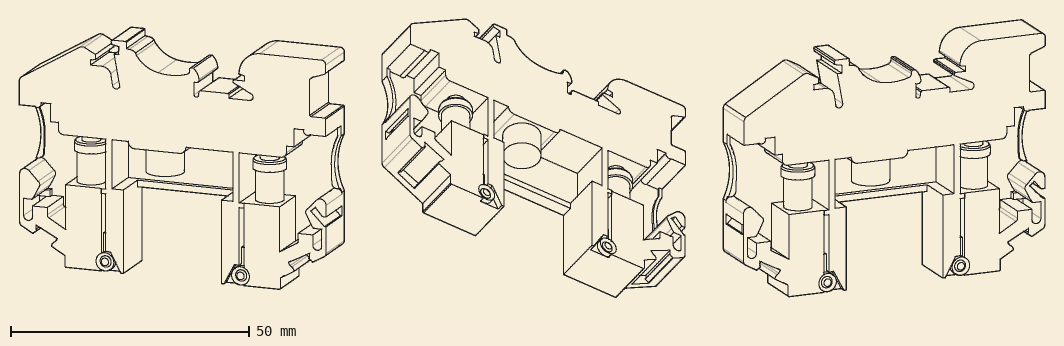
import cadquery as cq
import math

LENGTH = 69.0
DEPTH = 11.0
HEIGHT = 51.0
HALF = LENGTH / 2

CLAMP_FRONT = 0.2
RECESS_FLOOR = 1.4
RIB_FRONT = 8.3
RIM_FRONT = 9.0
PLATE_FRONT = 9.5

SHOULDER_Z = 34.45
HOUSING_BOTTOM = 28.9
PLATE_TOP = 35.9
RIB_TOP = 18.2
RAIL_TOP = 16.8
FOOT_INNER = -11.05
WALL_LEFT = -15.05
WALL_RIGHT = -13.6
BOX_LEFT = -24.1
BOX_RIGHT = -16.1
BOX_TOP = 18.0
FOOT_LEFT = -24.3
FOOT_CHAMFER = BOX_LEFT - FOOT_LEFT
FOOT_SHOULDER_Z = 2.55
SLOPE_X, SLOPE_Z = -33.9, 8.0
CORNER_Z = 8.9
CORNER_MID = (-34.3, 8.35)
LEDGE_Z = 12.6
HEAD_BOTTOM = 14.1
SLOT_LEFT, SLOT_RIGHT = -33.55, -31.55
SLOT_FLOOR = 9.4
HOOK_TOP = 20.6
WAIST_TOP, WAIST_BOTTOM = 32.2, 19.8
WAIST_MID = (WAIST_TOP + WAIST_BOTTOM) / 2
WAIST_DEPTH = 1.45
RIM_WIDTH = 0.75
HEAD_RADIUS = 1.0

SCREW_X = -20.1
SCREW_Y = 4.75
NECK_DIAMETER = 4.0
SHAFT_DIAMETER = 6.0
COLLAR_DIAMETER = 7.1
COLLAR_TOP_DIAMETER = 6.7
COLLAR_BOTTOM, COLLAR_EDGE, COLLAR_TOP = 24.9, 26.65, 27.05
BULGE_X = -3.45
BULGE_HALF_WIDTH = 6.5
BULGE_BOTTOM = 27.5
CENTRE_PIN_DIAMETER = 8.1
CENTRE_PIN_BOTTOM = 21.8

PIVOT_X, PIVOT_Z = -15.25, 2.1
PIVOT_DIAMETER = 4.0
PIVOT_CONE_DIAMETER = 2.5
PIVOT_TIP_DIAMETER = 1.65
PIVOT_DISH_DEPTH = 0.4

LOWER_WEB_TOP = 8.0
UPPER_WEB_BOTTOM = 17.0
WALL_FOOT_Z = 4.4
WALL_CUT_TOP, WALL_CUT_BOTTOM = -13.95, -11.6

CATCH_RIGHT = -30.8

SLIT_SIDE_WALL = 1.0


def sketch(front):
    return cq.Workplane("XZ", origin=(0, front, 0))


def slab(outline, front, back):
    """Extrude a closed XZ outline (drawn on the front plane) back along Y."""
    return outline.extrude(front - back)


def polygon(points, front, back):
    return slab(sketch(front).polyline(points).close(), front, back)


def block(left, right, bottom, top, front, back):
    return polygon([(left, bottom), (right, bottom), (right, top), (left, top)], front, back)


def cylinder(x, y, diameter, bottom, top):
    base = cq.Workplane("XY", origin=(x, y, bottom))
    return base.circle(diameter / 2).extrude(top - bottom)


def both_sides(solid):
    return solid.union(solid.mirror("YZ"))


def make_housing():
    """Full-depth upper housing with its latches, saddle and stepped underside."""
    bulge_left = BULGE_X - BULGE_HALF_WIDTH
    bulge_right = BULGE_X + BULGE_HALF_WIDTH
    bulge_drop = HOUSING_BOTTOM - BULGE_BOTTOM
    outline = (
        sketch(0).moveTo(-HALF, SHOULDER_Z)
        .lineTo(-HALF, 39.6).threePointArc((-34.4, 40.1), (-34.1, 40.5))
        .lineTo(-20.85, 48.4).threePointArc((-20.35, 48.5), (-19.8, 48.45))
        .lineTo(-17.3, 47.1).lineTo(-17.3, 46.0).lineTo(-18.4, 45.8).lineTo(-18.4, 44.7)
        .lineTo(-15.8, 44.7).threePointArc((-14.6, 44.3), (-13.9, 43.35))
        .lineTo(-13.45, 40.8).threePointArc((-12.7, 40.1), (-11.9, 40.9))
        .lineTo(-13.1, 47.6).lineTo(-12.1, 47.6).lineTo(-12.1, 49.35)
        .lineTo(-13.65, 49.7).lineTo(-13.8, 50.4).lineTo(-13.5, 50.65)
        .lineTo(-10.5, 50.65).lineTo(-10.35, 50.5).lineTo(-10.35, 49.15)
        .lineTo(-9.7, 49.0).threePointArc((-8.8, 48.8), (-8.3, 48.4)).lineTo(-8.1, 47.8)
        .threePointArc((-5.8, 45.6), (-3.25, 44.6)).threePointArc((0, 44.3), (3.25, 44.85))
        .threePointArc((3.65, 45.1), (3.85, 45.6))
        .lineTo(3.85, 46.2).lineTo(4.15, 46.4).lineTo(4.75, 46.4)
        .threePointArc((5.6, 45.35), (6.0, 44.0)).threePointArc((5.9, 43.5), (5.4, 43.3))
        .lineTo(4.9, 43.3).lineTo(4.9, 40.6).threePointArc((5.4, 40.1), (5.9, 40.6))
        .lineTo(6.0, 41.4).lineTo(6.3, 41.6).lineTo(12.5, 41.6).lineTo(12.7, 41.4)
        .lineTo(12.7, 40.6)
        .lineTo(17.3, 40.6).threePointArc((18.15, 41.2), (17.8, 42.0))
        .lineTo(13.65, 44.1).lineTo(13.65, 44.5).lineTo(13.95, 44.7)
        .lineTo(16.2, 44.7).lineTo(16.2, 45.8).lineTo(14.9, 46.1).lineTo(15.0, 46.45)
        .threePointArc((16.4, 49.6), (19.7, HEIGHT))
        .lineTo(HALF - HEAD_RADIUS, HEIGHT)
        .radiusArc((HALF, HEIGHT - HEAD_RADIUS), HEAD_RADIUS)
        .lineTo(HALF, 48.25).lineTo(34.15, 47.95).lineTo(31.3, 46.9)
        .lineTo(30.9, 46.5).lineTo(30.9, 38.7).lineTo(31.2, 38.45)
        .lineTo(34.3, 38.45).lineTo(HALF, 38.2).lineTo(HALF, SHOULDER_Z)
        .lineTo(30.9, SHOULDER_Z).threePointArc((30.0, 34.4), (29.55, 35.05))
        .lineTo(29.55, 35.4).lineTo(27.4, 35.4).lineTo(27.4, 31.5).lineTo(25.7, 31.5)
        .lineTo(25.7, 30.0).threePointArc((25.3, 29.25), (24.6, HOUSING_BOTTOM))
        .lineTo(bulge_right, HOUSING_BOTTOM)
        .radiusArc((bulge_right - bulge_drop, BULGE_BOTTOM), bulge_drop)
        .lineTo(bulge_left + bulge_drop, BULGE_BOTTOM)
        .radiusArc((bulge_left, HOUSING_BOTTOM), bulge_drop)
        .lineTo(-24.6, HOUSING_BOTTOM).threePointArc((-25.3, 29.25), (-25.7, 30.0))
        .lineTo(-25.7, 31.5).lineTo(-27.4, 31.5).lineTo(-27.4, 35.4).lineTo(-29.55, 35.4)
        .lineTo(-29.55, 35.05).threePointArc((-30.0, 34.4), (-30.9, SHOULDER_Z))
        .close()
    )
    return slab(outline, 0, DEPTH)


def make_half_plate():
    """Left half of the back plate, with the waist in its end face and one foot."""
    outline = (
        sketch(PLATE_FRONT).moveTo(0, PLATE_TOP).lineTo(-HALF, PLATE_TOP)
        .lineTo(-HALF, WAIST_TOP)
        .threePointArc((WAIST_DEPTH - HALF, WAIST_MID), (-HALF, WAIST_BOTTOM))
        .lineTo(-HALF, CORNER_Z).threePointArc(CORNER_MID, (SLOPE_X, SLOPE_Z))
        .lineTo(FOOT_LEFT, FOOT_SHOULDER_Z).lineTo(FOOT_LEFT, FOOT_CHAMFER)
        .lineTo(BOX_LEFT, 0).lineTo(FOOT_INNER, 0)
        .lineTo(FOOT_INNER, RAIL_TOP).lineTo(0, RAIL_TOP).close()
    )
    return slab(outline, PLATE_FRONT, DEPTH)


def make_rim():
    """Raised rim that follows the waist on the front of the back plate."""
    inner_x = RIM_WIDTH - HALF
    waist_x = WAIST_DEPTH - HALF
    half_height = WAIST_TOP - WAIST_MID
    radius = (half_height**2 + WAIST_DEPTH**2) / (2 * WAIST_DEPTH)
    foot_drop = WAIST_MID - HOOK_TOP
    foot_x = waist_x - radius + math.sqrt(radius**2 - foot_drop**2)
    outline = (
        sketch(RIM_FRONT).moveTo(-HALF, SHOULDER_Z).lineTo(-HALF, WAIST_TOP)
        .threePointArc((waist_x, WAIST_MID), (foot_x, HOOK_TOP))
        .lineTo(-33.5, HOOK_TOP).threePointArc((-32.7, 21.05), (-32.45, 21.7))
        .lineTo(waist_x + RIM_WIDTH, WAIST_MID)
        .threePointArc((-32.65, 29.2), (inner_x, WAIST_TOP))
        .lineTo(inner_x, SHOULDER_Z).close()
    )
    return slab(outline, RIM_FRONT, PLATE_FRONT)


def make_hook():
    """Hooked arm outside the clamp box, notched in its sloped underside."""
    slot_radius = (SLOT_RIGHT - SLOT_LEFT) / 2
    outline = (
        sketch(CLAMP_FRONT).moveTo(BOX_LEFT, 8.2).lineTo(-27.9, 10.4)
        .threePointArc((-28.15, 10.7), (-28.2, 11.05)).lineTo(-28.2, LEDGE_Z)
        .lineTo(SLOT_RIGHT, LEDGE_Z).lineTo(SLOT_RIGHT, SLOT_FLOOR + slot_radius)
        .radiusArc((SLOT_LEFT, SLOT_FLOOR + slot_radius), slot_radius)
        .lineTo(SLOT_LEFT, HEAD_BOTTOM)
        .lineTo(-31.7, HEAD_BOTTOM).lineTo(-31.1, 14.9).lineTo(-29.95, 17.2)
        .threePointArc((-29.95, 17.7), (-30.3, 18.15)).lineTo(-32.4, 20.3)
        .threePointArc((-33.25, HOOK_TOP), (-HALF, 19.4))
        .lineTo(-HALF, CORNER_Z).threePointArc(CORNER_MID, (SLOPE_X, SLOPE_Z))
        .lineTo(FOOT_LEFT, FOOT_SHOULDER_Z).lineTo(FOOT_LEFT, FOOT_CHAMFER)
        .lineTo(BOX_LEFT, 0).close()
    )
    notch = (
        sketch(CLAMP_FRONT).moveTo(-31.6, 6.35).lineTo(-31.4, 6.75).lineTo(-30.6, 7.4)
        .lineTo(-30.8, 7.65).lineTo(-30.8, 8.55).lineTo(-26.0, 6.1).lineTo(-26.4, 5.45)
        .lineTo(-26.8, 5.2).threePointArc((-27.1, 4.8), (-27.25, 4.3)).lineTo(-27.3, 3.85).close()
    )
    return slab(outline, CLAMP_FRONT, PLATE_FRONT).cut(slab(notch, CLAMP_FRONT, PLATE_FRONT))


def make_slit(front):
    """Cutter for the slanted slit in the left hook."""
    outline = [(-HALF, 16.85), (-33.7, 16.85), (-32.1, 18.7), (-31.05, 17.8),
               (-34.15, 14.7), (-HALF, 14.7)]
    return polygon(outline, front, PLATE_FRONT)


def pivot_cone(front_diameter):
    """Blunt cone from the bottom of the pivot dish to the front face of the box."""
    base = cq.Vector(PIVOT_X, CLAMP_FRONT + PIVOT_DISH_DEPTH, PIVOT_Z)
    forward = cq.Vector(0, -1, 0)
    return cq.Workplane(cq.Solid.makeCone(
        PIVOT_CONE_DIAMETER / 2, front_diameter / 2, PIVOT_DISH_DEPTH, base, forward))


def add_pivot(clamp):
    """Round boss with a dished face and a blunt cone in its centre."""
    circle = sketch(CLAMP_FRONT).center(PIVOT_X, PIVOT_Z).circle(PIVOT_DIAMETER / 2)
    boss = slab(circle, CLAMP_FRONT, PLATE_FRONT)
    dish = pivot_cone(PIVOT_DIAMETER).cut(pivot_cone(PIVOT_TIP_DIAMETER))
    return clamp.union(boss).cut(dish)


def make_clamp():
    """Clamp box, inner wall, shallow recess between them and the pivot."""
    box = block(BOX_LEFT, BOX_RIGHT, 0, BOX_TOP, CLAMP_FRONT, PLATE_FRONT)
    wall = polygon(
        [(WALL_LEFT, WALL_FOOT_Z), (WALL_CUT_TOP, WALL_FOOT_Z), (WALL_CUT_BOTTOM, 0),
         (FOOT_INNER, 0), (FOOT_INNER, RIB_TOP),
         (WALL_RIGHT, RIB_TOP), (WALL_RIGHT, HOUSING_BOTTOM), (WALL_LEFT, HOUSING_BOTTOM)],
        0, PLATE_FRONT)
    lower_web = block(BOX_RIGHT, FOOT_INNER, 0, LOWER_WEB_TOP, RECESS_FLOOR, PLATE_FRONT)
    upper_web = block(BOX_RIGHT, WALL_LEFT, UPPER_WEB_BOTTOM, BOX_TOP, 0, PLATE_FRONT)
    return add_pivot(box.union(wall).union(lower_web).union(upper_web))


def make_screw():
    """Clamp screw: neck, collar with a bevelled top edge, and shaft."""
    neck = cylinder(SCREW_X, SCREW_Y, NECK_DIAMETER, COLLAR_EDGE, HOUSING_BOTTOM)
    shaft = cylinder(SCREW_X, SCREW_Y, SHAFT_DIAMETER, BOX_TOP, COLLAR_BOTTOM)
    collar = cylinder(SCREW_X, SCREW_Y, COLLAR_DIAMETER, COLLAR_BOTTOM, COLLAR_TOP)
    bevel_width = (COLLAR_DIAMETER - COLLAR_TOP_DIAMETER) / 2
    collar = collar.faces(">Z").chamfer(COLLAR_TOP - COLLAR_EDGE, bevel_width)
    return shaft.union(collar).union(neck)


def make_catch():
    """Small block on the back plate behind the gap under the hook head."""
    return block(SLOT_LEFT, CATCH_RIGHT, LEDGE_Z, HEAD_BOTTOM, RIB_FRONT, PLATE_FRONT)


rib = block(FOOT_INNER, -FOOT_INNER, RAIL_TOP, RIB_TOP, RIB_FRONT, PLATE_FRONT)
centre_pin = cylinder(BULGE_X, SCREW_Y, CENTRE_PIN_DIAMETER, CENTRE_PIN_BOTTOM, BULGE_BOTTOM)

left_side = make_half_plate()
for feature in (make_rim(), make_hook(), make_clamp(), make_screw(), make_catch()):
    left_side = left_side.union(feature)

result = make_housing().union(both_sides(left_side)).union(rib).union(centre_pin)
result = result.cut(make_slit(SLIT_SIDE_WALL)).cut(make_slit(0).mirror("YZ"))